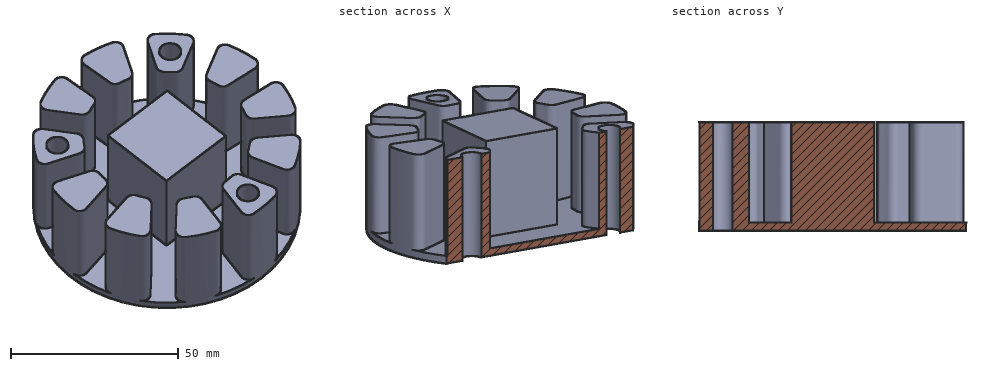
import cadquery as cq

OUTER_DIAMETER = 80.0
HEIGHT = 32.5
BASE_THICKNESS = 2.5

POST_COUNT = 11
POST_PITCH = 360.0 / POST_COUNT
FIRST_POST_ANGLE = 2.7
RING_INNER_DIAMETER = 50.0
SLOT_WIDTH = 7.5
POST_CORNER_RADIUS = 2.5

HOLE_DIAMETER = 6.6
HOLE_CIRCLE_RADIUS = 33.0
DRILLED_POSTS = (0, 4, 7)

BLOCK_SIDE = 25.0

POST_HEIGHT = HEIGHT - BASE_THICKNESS


def post_angle(index):
    """Angle of a post's centreline, measured from +X."""
    return FIRST_POST_ANGLE + index * POST_PITCH


def make_posts():
    """Ring standing on the base, cut into posts with rounded upright corners."""
    ring = (
        cq.Workplane("XY")
        .workplane(offset=BASE_THICKNESS)
        .circle(OUTER_DIAMETER / 2)
        .circle(RING_INNER_DIAMETER / 2)
        .extrude(POST_HEIGHT)
    )
    slot = cq.Workplane("XY").box(
        OUTER_DIAMETER, SLOT_WIDTH, HEIGHT, centered=(False, True, False)
    )
    for index in range(POST_COUNT):
        slot_angle = post_angle(index) + POST_PITCH / 2
        ring = ring.cut(slot.rotate((0, 0, 0), (0, 0, 1), slot_angle))
    return ring.edges("|Z").fillet(POST_CORNER_RADIUS)


def make_holes():
    """Cylinders that bore through the drilled posts and the base below them."""
    bore = cq.Workplane("XY").center(HOLE_CIRCLE_RADIUS, 0).circle(HOLE_DIAMETER / 2).extrude(HEIGHT)
    bores = cq.Workplane("XY")
    for index in DRILLED_POSTS:
        bores = bores.add(bore.rotate((0, 0, 0), (0, 0, 1), post_angle(index)))
    return bores.combine()


base = cq.Workplane("XY").circle(OUTER_DIAMETER / 2).extrude(BASE_THICKNESS)
block = cq.Workplane("XY").box(BLOCK_SIDE, BLOCK_SIDE, HEIGHT, centered=(True, True, False))

result = base.union(make_posts()).union(block).cut(make_holes())